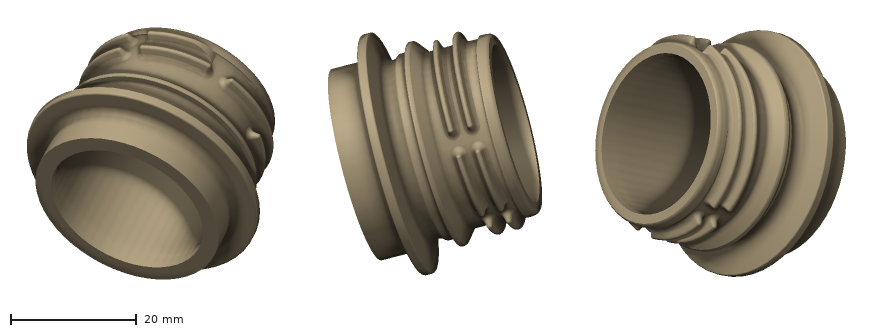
import cadquery as cq
import math


LENGTH = 26.38
BORE_RADIUS = 13.0

NECK_RADIUS = 15.72
NECK_FILLET = 1.15

FLANGE_RADIUS = 39.57 / 2
FLANGE_BOTTOM = 6.03
FLANGE_EDGE_FILLET = 0.35
RIM_TOP = 7.37
CONE_OUTER = (19.53, 7.65)
CONE_INNER = (15.53, 8.72)

GROOVE_RADIUS = 14.66
GROOVE_HEIGHT = 9.95
GROOVE_END = (15.18, 11.0)
STEP_RADIUS = 15.33
STEP_BOTTOM = 11.44
STEP_FILLET = 0.45

RIDGE_RADIUS = 16.81
RIDGE_BOTTOM = 13.02
RIDGE_EDGE_CHAMFER = 0.1
RIDGE_RIM_TOP = 13.37
RIDGE_CONE_OUTER = (16.66, 13.87)
RIDGE_CONE_INNER = (14.74, 15.47)
RIDGE_FILLET_TOP = 15.92

WALL_RADIUS = 14.53
LIP_RADIUS = 14.97
LIP_BOTTOM = 24.5
LIP_FILLET = 0.4
LIP_TAPER_START = 25.1
LIP_ROUND_START = (14.9, 25.7)
LIP_END_RADIUS = 14.5

PITCH = 3.2
CREST_RADIUS = 16.42
CREST_ROUND = 0.45
FLANK_ANGLE = 17.0
ROOT_FILLET = 1.2
ROOT_SINK = 0.12
FOOT_RADIUS = WALL_RADIUS - ROOT_SINK
EMBED_RADIUS = 13.9
THREAD_HEIGHT_AT_X = 18.06
THREAD_START_ANGLE = -18.3
TURNS = 2
GAP_CENTRES = (61.6, 118.4, 241.6, 298.4)
GAP_HALF_ANGLE = 8.0
RUNOUT_RADIUS = 6.4


def make_sleeve():
    """Revolved body without the thread."""
    outline = (
        cq.Workplane("XZ")
        .moveTo(BORE_RADIUS, 0)
        .lineTo(NECK_RADIUS, 0)
        .lineTo(NECK_RADIUS, FLANGE_BOTTOM - NECK_FILLET)
        .tangentArcPoint((NECK_RADIUS + NECK_FILLET, FLANGE_BOTTOM), relative=False)
        .lineTo(FLANGE_RADIUS - FLANGE_EDGE_FILLET, FLANGE_BOTTOM)
        .tangentArcPoint((FLANGE_RADIUS, FLANGE_BOTTOM + FLANGE_EDGE_FILLET), relative=False)
        .lineTo(FLANGE_RADIUS, RIM_TOP)
        .tangentArcPoint(CONE_OUTER, relative=False)
        .lineTo(*CONE_INNER)
        .tangentArcPoint((GROOVE_RADIUS, GROOVE_HEIGHT), relative=False)
        .tangentArcPoint(GROOVE_END, relative=False)
        .tangentArcPoint((STEP_RADIUS, STEP_BOTTOM), relative=False)
        .lineTo(STEP_RADIUS, RIDGE_BOTTOM - STEP_FILLET)
        .tangentArcPoint((STEP_RADIUS + STEP_FILLET, RIDGE_BOTTOM), relative=False)
        .lineTo(RIDGE_RADIUS - RIDGE_EDGE_CHAMFER, RIDGE_BOTTOM)
        .lineTo(RIDGE_RADIUS, RIDGE_BOTTOM + RIDGE_EDGE_CHAMFER)
        .lineTo(RIDGE_RADIUS, RIDGE_RIM_TOP)
        .tangentArcPoint(RIDGE_CONE_OUTER, relative=False)
        .lineTo(*RIDGE_CONE_INNER)
        .tangentArcPoint((WALL_RADIUS, RIDGE_FILLET_TOP), relative=False)
        .lineTo(WALL_RADIUS, LIP_BOTTOM - LIP_FILLET)
        .tangentArcPoint((WALL_RADIUS + LIP_FILLET, LIP_BOTTOM), relative=False)
        .lineTo(LIP_RADIUS, LIP_BOTTOM)
        .lineTo(LIP_RADIUS, LIP_TAPER_START)
        .lineTo(*LIP_ROUND_START)
        .tangentArcPoint((LIP_END_RADIUS, LENGTH), relative=False)
        .lineTo(BORE_RADIUS, LENGTH)
        .close()
    )
    return outline.revolve(360, (0, 0, 0), (0, 1, 0))


def arc_point(centre, radius, angle):
    return centre[0] + radius * math.sin(angle), centre[1] + radius * math.cos(angle)


def rib_flank_points():
    """Points (radius, half width) on one rib flank, from the crest round to the foot."""
    slope = math.radians(FLANK_ANGLE)
    mid_angle = (math.pi / 2 + slope) / 2
    crest_centre = (CREST_RADIUS - CREST_ROUND, 0)
    crest_mid = arc_point(crest_centre, CREST_ROUND, mid_angle)
    crest_end = arc_point(crest_centre, CREST_ROUND, slope)
    root_radius = FOOT_RADIUS + ROOT_FILLET * (1 - math.sin(slope))
    root_width = crest_end[1] + (crest_end[0] - root_radius) * math.tan(slope)
    root_centre = (FOOT_RADIUS + ROOT_FILLET, root_width + ROOT_FILLET * math.cos(slope))
    root = (root_radius, root_width)
    root_mid = arc_point(root_centre, -ROOT_FILLET, mid_angle)
    foot = (FOOT_RADIUS, root_centre[1])
    return crest_mid, crest_end, root, root_mid, foot


def mirrored(point):
    return point[0], -point[1]


def make_rib_end(away):
    """Half-round rib end about a radial axis; away is +1 or -1 along the thread."""
    crest_mid, crest_end, root, root_mid, foot = rib_flank_points()
    half_section = (
        cq.Workplane("XZ")
        .moveTo(EMBED_RADIUS, 0)
        .lineTo(CREST_RADIUS, 0)
        .threePointArc(crest_mid, crest_end)
        .lineTo(*root)
        .threePointArc(root_mid, foot)
        .lineTo(EMBED_RADIUS, foot[1])
        .close()
    )
    return half_section.revolve(180, (0, 0, 0), (-away, 0, 0))


def make_rib(start_angle, end_angle):
    """One thread segment between two end axes, with both rounded ends."""
    crest_mid, crest_end, root, root_mid, foot = rib_flank_points()
    section = (
        cq.Workplane("XZ")
        .moveTo(EMBED_RADIUS, foot[1])
        .lineTo(*foot)
        .threePointArc(root_mid, root)
        .lineTo(*crest_end)
        .threePointArc((CREST_RADIUS, 0), mirrored(crest_end))
        .lineTo(*mirrored(root))
        .threePointArc(mirrored(root_mid), mirrored(foot))
        .lineTo(EMBED_RADIUS, -foot[1])
        .close()
    )
    sweep_angle = end_angle - start_angle
    rise = PITCH * sweep_angle / 360
    helix = cq.Wire.makeHelix(PITCH, rise, WALL_RADIUS)
    rib = section.sweep(cq.Workplane(helix), isFrenet=True)
    first_end = make_rib_end(-1)
    last_end = make_rib_end(1).rotate((0, 0, 0), (0, 0, 1), sweep_angle).translate((0, 0, rise))
    start_height = THREAD_HEIGHT_AT_X + PITCH * start_angle / 360
    rib = rib.union(first_end).union(last_end)
    return rib.rotate((0, 0, 0), (0, 0, 1), start_angle).translate((0, 0, start_height))


def make_runout_limit():
    """Envelope of the last rib: its crest fades into the wall once past the -Y direction."""
    full_half = (
        cq.Workplane("XY")
        .rect(2 * FLANGE_RADIUS, 2 * FLANGE_RADIUS)
        .extrude(LIP_BOTTOM)
        .translate((-FLANGE_RADIUS, 0, 0))
    )
    fading_half = (
        cq.Workplane("XY")
        .center(0, RUNOUT_RADIUS - CREST_RADIUS)
        .circle(RUNOUT_RADIUS)
        .extrude(LIP_BOTTOM)
    )
    return full_half.union(fading_half)


def make_ribs():
    """All thread segments, cut off flush with the underside of the lip."""
    below_lip = cq.Workplane("XY").circle(FLANGE_RADIUS).extrude(LIP_BOTTOM)
    ribs = []
    start_angle = THREAD_START_ANGLE
    for turn in range(TURNS):
        for centre in GAP_CENTRES:
            gap = centre + 360 * turn
            ribs.append(make_rib(start_angle, gap - GAP_HALF_ANGLE).intersect(below_lip))
            start_angle = gap + GAP_HALF_ANGLE
    ribs[-1] = ribs[-1].intersect(make_runout_limit())
    return ribs


sleeve = make_sleeve()
for rib in make_ribs():
    sleeve = sleeve.union(rib)

result = sleeve.rotate((0, 0, 0), (1, 0, 0), -90)